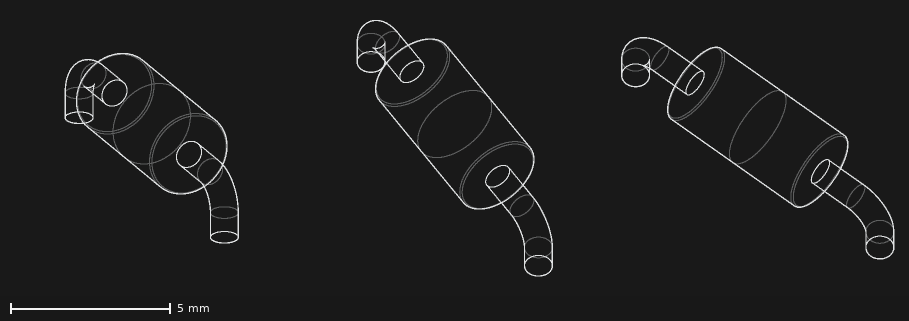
import cadquery as cq

overall_length = 11.02
body_diameter = 2.72
body_length = 5.2
body_edge_round = 0.05
lead_diameter = 0.88
bend_radius = 1.0
overall_height = 3.22

lead_end_x = (overall_length - lead_diameter) / 2
lead_bottom_z = body_diameter / 2 - overall_height


def make_body():
    """Cylinder centred on the origin with softened end rims."""
    return (
        cq.Workplane("YZ")
        .circle(body_diameter / 2)
        .extrude(body_length / 2, both=True)
        .faces("<X or >X")
        .edges()
        .fillet(body_edge_round)
    )


def make_lead_pair():
    """One round wire through the body, with both ends bent down."""
    path = (
        cq.Workplane("XZ")
        .moveTo(-lead_end_x, lead_bottom_z)
        .lineTo(-lead_end_x, -bend_radius)
        .tangentArcPoint((bend_radius, bend_radius))
        .lineTo(lead_end_x - bend_radius, 0)
        .tangentArcPoint((bend_radius, -bend_radius))
        .lineTo(lead_end_x, lead_bottom_z)
    )
    return (
        cq.Workplane("XY", origin=(-lead_end_x, 0, lead_bottom_z))
        .circle(lead_diameter / 2)
        .sweep(path)
    )


result = make_body().union(make_lead_pair())